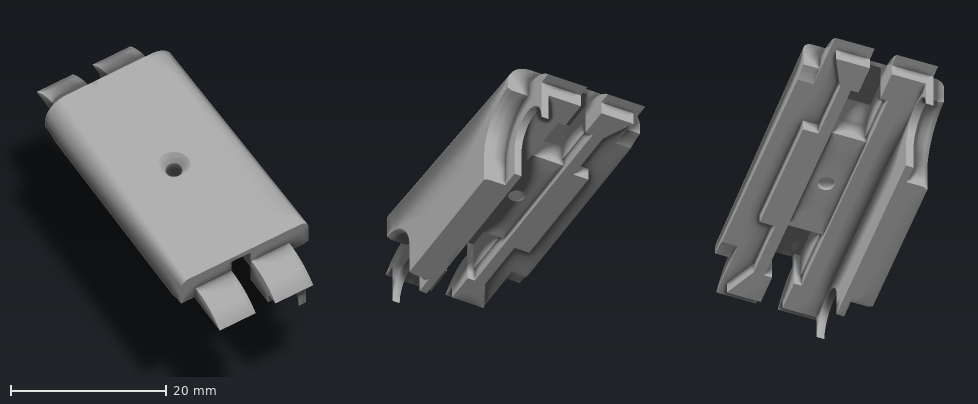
import cadquery as cq
import math

LENGTH = 45.2
WIDTH = 19.2
HEIGHT = 14.8

COVER_LEFT = -16.95
COVER_RIGHT = 16.65
COVER_DEPTH = 5.0
ROUND_LEFT = 3.25
ROUND_RIGHT = 1.2

CLIP_X = 16.95
CLIP_Z = -10.8
ROD_RADIUS = 3.75
CLEARANCE_RADIUS = 6.35
CLEARANCE_BEVEL_WIDTH = 0.6
CLEARANCE_BEVEL_RISE = 0.25
TAB_RADIUS = math.hypot(LENGTH / 2 - CLIP_X, CLIP_Z + COVER_DEPTH)
TAB_FRONT = -7.4
TAB_BACK = 6.7

BASE_HALF_LENGTH = 20.75
BASE_FRONT = -6.65
BASE_BOTTOM = -6.83
WAIST_FRONT = -4.5
WAIST_OUTER_X = 16.4
WAIST_INNER_X = 8.23

LEG_FRONT = 5.65

SLOT_Y = -0.5
SLOT_WIDTH = 3.0
SLOT_ROOF = -0.8
SLOT_SHOULDER = -2.9
BRIDGE_BOTTOM = -5.88
POCKET_WIDTH = 4.6
BASE_POCKET_WIDTH = 5.05

SCREW_X = -0.05
SCREW_DIAMETER = 2.15
SINK_DIAMETER = 4.25
SINK_DEPTH = (SINK_DIAMETER - SCREW_DIAMETER) / 2

BACK = WIDTH / 2
ENDS = (-1, 1)


def box(x_range, y_range, z_range):
    """Box spanning the given (low, high) ranges."""
    size = [high - low for low, high in (x_range, y_range, z_range)]
    corner = (x_range[0], y_range[0], z_range[0])
    return cq.Workplane("XY").box(*size, centered=False).translate(corner)


def rod(end, radius, y_range):
    """Cylinder along Y about the clip axis at one end (-1 or +1)."""
    y_low, y_high = y_range
    return (
        cq.Workplane("XZ", origin=(end * CLIP_X, y_high, CLIP_Z))
        .circle(radius)
        .extrude(y_high - y_low)
    )


def cover():
    """Ruled body between the two rounded end sections."""

    def section(plane, radius):
        inset = radius * (1 - math.sqrt(0.5))
        return (
            plane.moveTo(-BACK, -COVER_DEPTH)
            .lineTo(-BACK, -radius)
            .threePointArc((-BACK + inset, -inset), (-BACK + radius, 0))
            .lineTo(BACK - radius, 0)
            .threePointArc((BACK - inset, -inset), (BACK, -radius))
            .lineTo(BACK, -COVER_DEPTH)
            .close()
        )

    left = section(cq.Workplane("YZ", origin=(COVER_LEFT, 0, 0)), ROUND_LEFT)
    both = section(left.workplane(offset=COVER_RIGHT - COVER_LEFT), ROUND_RIGHT)
    return both.loft(ruled=True)


def tabs():
    """Flat-bottomed slices of a disc that overhang both ends."""
    body = None
    for end in ENDS:
        disc = rod(end, TAB_RADIUS, (TAB_FRONT, TAB_BACK))
        outer = sorted((end * WAIST_OUTER_X, end * LENGTH / 2))
        tab = disc.intersect(box(outer, (TAB_FRONT, TAB_BACK), (-COVER_DEPTH, 0)))
        body = tab if body is None else body.union(tab)
    return body


def base():
    """Plate whose -Y edge steps in at the waists and flares out at the ends."""
    right = [
        (WAIST_INNER_X, BASE_FRONT),
        (WAIST_INNER_X, WAIST_FRONT),
        (WAIST_OUTER_X, WAIST_FRONT),
        (BASE_HALF_LENGTH, BASE_FRONT),
        (BASE_HALF_LENGTH, TAB_BACK),
    ]
    left = [(-x, y) for x, y in reversed(right)]
    return (
        cq.Workplane("XY", origin=(0, 0, BASE_BOTTOM))
        .polyline(right + left)
        .close()
        .extrude(-COVER_DEPTH - BASE_BOTTOM)
    )


def leg():
    """Inner plate over the full base length, backed by a shorter outer slab."""
    inner = box((-BASE_HALF_LENGTH, BASE_HALF_LENGTH), (LEG_FRONT, TAB_BACK), (-HEIGHT, -COVER_DEPTH))
    outer = box((-CLIP_X, CLIP_X), (TAB_BACK, BACK), (-HEIGHT, -COVER_DEPTH))
    return inner.union(outer)


def arch(end, radius, y_range):
    """Cutter for a round-topped opening, straight below the clip axis and open to the end."""
    inner_side = end * (CLIP_X - radius)
    below = box(sorted((inner_side, end * LENGTH / 2)), y_range, (-HEIGHT, CLIP_Z))
    return rod(end, radius, y_range).union(below)


def clearance_bevel(end):
    """Cutter for the flared outer rim of the clearance arch on the +Y side."""
    wide = CLEARANCE_RADIUS + CLEARANCE_BEVEL_RISE
    start = BACK - CLEARANCE_BEVEL_WIDTH
    center = cq.Vector(end * CLIP_X, start, CLIP_Z)
    along_y = cq.Vector(0, 1, 0)
    cone = cq.Solid.makeCone(CLEARANCE_RADIUS, wide, CLEARANCE_BEVEL_WIDTH, center, along_y)
    flank = (
        cq.Workplane("XY", origin=(0, 0, -HEIGHT))
        .polyline([
            (end * CLIP_X, start),
            (end * (CLIP_X - CLEARANCE_RADIUS), start),
            (end * (CLIP_X - wide), BACK),
            (end * CLIP_X, BACK),
        ])
        .close()
        .extrude(HEIGHT + CLIP_Z)
    )
    return flank.union(cq.Workplane(cone))


def slot_cutter():
    """Slot through both ends, leaving a sloped-shoulder bridge around the screw."""
    half = LENGTH / 2
    slope_start = WAIST_INNER_X + SLOT_ROOF - SLOT_SHOULDER
    roof = [
        (WAIST_INNER_X, BRIDGE_BOTTOM),
        (WAIST_INNER_X, SLOT_SHOULDER),
        (slope_start, SLOT_ROOF),
    ]

    def profile(outer_x, width):
        right = roof + [(outer_x, SLOT_ROOF), (outer_x, BASE_BOTTOM)]
        left = [(-x, z) for x, z in reversed(right)]
        return (
            cq.Workplane("XZ", origin=(0, SLOT_Y, 0))
            .polyline(right + left)
            .close()
            .extrude(width / 2, both=True)
        )

    below_cover = box((-half, half), (-BACK, BACK), (BASE_BOTTOM, -COVER_DEPTH))
    base_pocket = profile(WAIST_OUTER_X, BASE_POCKET_WIDTH).intersect(below_cover)
    return profile(half, SLOT_WIDTH).union(profile(WAIST_OUTER_X, POCKET_WIDTH)).union(base_pocket)


def screw_cutter():
    """Through hole with a 90 degree countersink."""
    return (
        cq.Workplane("XY")
        .center(SCREW_X, SLOT_Y)
        .circle(SCREW_DIAMETER / 2)
        .extrude(-HEIGHT)
        .union(
            cq.Workplane("XY")
            .center(SCREW_X, SLOT_Y)
            .circle(SINK_DIAMETER / 2)
            .workplane(offset=-SINK_DEPTH)
            .circle(SCREW_DIAMETER / 2)
            .loft()
        )
    )


result = cover().union(leg())
for side in ENDS:
    result = result.cut(arch(side, CLEARANCE_RADIUS, (-BACK, TAB_FRONT)))
    result = result.cut(arch(side, CLEARANCE_RADIUS, (TAB_BACK, BACK)))
    result = result.cut(clearance_bevel(side))
result = result.union(base()).union(tabs())
for side in ENDS:
    result = result.cut(arch(side, ROD_RADIUS, (LEG_FRONT, TAB_BACK)))
result = result.cut(slot_cutter()).cut(screw_cutter())